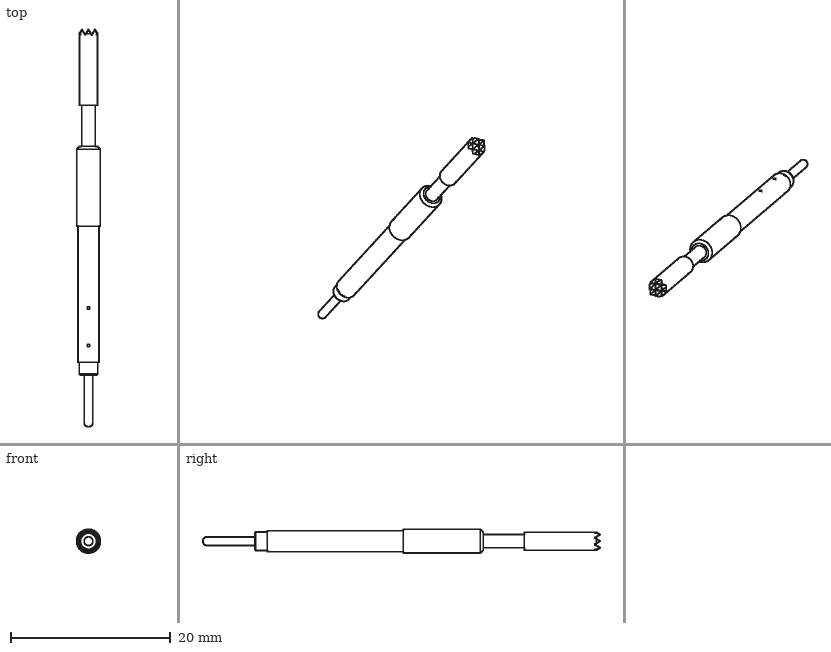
import cadquery as cq
import math


head_diameter = 2.3
neck_diameter = 1.7
collar_diameter = 3.0
barrel_diameter = 2.65
tail_diameter = 2.35
pin_diameter = 1.1

overall_length = 49.8
head_length = 9.5
neck_length = 5.15
collar_length = 10.0
barrel_length = 17.05
tail_length = 1.6
pin_length = overall_length - (head_length + neck_length + collar_length + barrel_length + tail_length)

collar_chamfer = 0.36
tail_chamfer = 0.17
pin_nose_height = 0.45

point_pitch = 0.83
groove_depth = 0.68
grooves_each_side = 2

dimple_diameter = 0.35
dimple_depth = 0.15
dimple_distances = (10.25, 14.95)

head_tip_y = neck_length + head_length
barrel_front_y = -collar_length
barrel_end_y = barrel_front_y - barrel_length
tail_end_y = barrel_end_y - tail_length
pin_end_y = tail_end_y - pin_length


def cylinder(diameter, start_y, length):
    """Round section on the Y axis, running from start_y toward +Y."""
    return (
        cq.Workplane("XZ", origin=(0, start_y, 0))
        .circle(diameter / 2)
        .extrude(-length)
    )


def make_head():
    return cylinder(head_diameter, neck_length, head_length)


def make_collar():
    collar = cylinder(collar_diameter, barrel_front_y, collar_length)
    return collar.faces(">Y").chamfer(collar_chamfer)


def make_tail():
    return cylinder(tail_diameter, tail_end_y, tail_length).faces("<Y").chamfer(tail_chamfer)


def make_pin():
    """Tail pin with a domed nose, revolved about the Y axis."""
    radius = pin_diameter / 2
    nose_base_y = pin_end_y + pin_nose_height
    dome_radius = (radius**2 + pin_nose_height**2) / (2 * pin_nose_height)
    dome_centre_y = pin_end_y + dome_radius
    half_angle = math.atan2(radius, dome_centre_y - nose_base_y) / 2
    dome_midpoint = (
        dome_radius * math.sin(half_angle),
        dome_centre_y - dome_radius * math.cos(half_angle),
    )
    return (
        cq.Workplane("XY")
        .moveTo(0, tail_end_y)
        .lineTo(radius, tail_end_y)
        .lineTo(radius, nose_base_y)
        .threePointArc(dome_midpoint, (0, pin_end_y))
        .close()
        .revolve(360, (0, 0, 0), (0, 1, 0))
    )


def groove(centre_x):
    """V groove across the head's end face, running along Z."""
    half_width = point_pitch / 2
    return (
        cq.Workplane("XY")
        .moveTo(centre_x - half_width, head_tip_y)
        .lineTo(centre_x, head_tip_y - groove_depth)
        .lineTo(centre_x + half_width, head_tip_y)
        .close()
        .extrude(head_diameter, both=True)
    )


def cut_crown(body):
    for index in range(-grooves_each_side, grooves_each_side):
        cutter = groove((index + 0.5) * point_pitch)
        body = body.cut(cutter)
        body = body.cut(cutter.rotate((0, 0, 0), (0, 1, 0), 90))
    return body


def cut_dimples(body):
    floor_z = barrel_diameter / 2 - dimple_depth
    for distance in dimple_distances:
        dimple = (
            cq.Workplane("XY", origin=(0, barrel_front_y - distance, floor_z))
            .circle(dimple_diameter / 2)
            .extrude(barrel_diameter)
        )
        body = body.cut(dimple)
    return body


probe = (
    cut_crown(make_head())
    .union(cylinder(neck_diameter, 0, neck_length))
    .union(make_collar())
    .union(cylinder(barrel_diameter, barrel_end_y, barrel_length))
    .union(make_tail())
    .union(make_pin())
)

result = cut_dimples(probe)